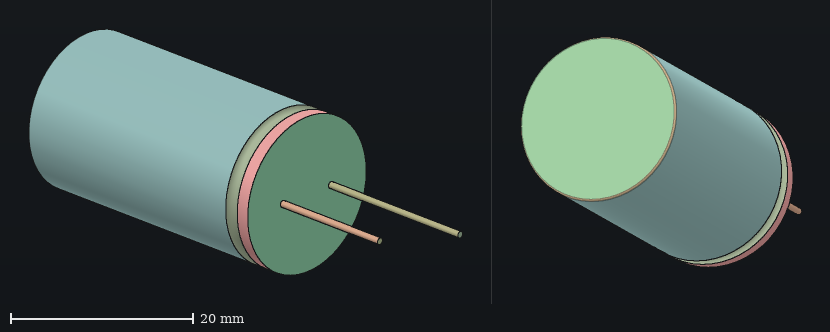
import cadquery as cq

can_diameter = 18.5
can_length = 34.0
end_fillet_radius = 0.2

groove_width = 1.8
groove_depth = 0.85
rim_width = 1.6

overall_length = 54.0
lead_diameter = 0.8
lead_pitch = 7.5
long_lead_length = overall_length - can_length
short_lead_length = 15.0


def make_can():
    """Solid of revolution about X, with the crimp groove in its profile."""
    radius = can_diameter / 2
    groove_end = can_length - rim_width
    groove_start = groove_end - groove_width
    groove_middle = (groove_start + groove_end) / 2
    profile = (
        cq.Workplane("XY")
        .moveTo(0, 0)
        .lineTo(0, radius)
        .lineTo(groove_start, radius)
        .threePointArc((groove_middle, radius - groove_depth), (groove_end, radius))
        .lineTo(can_length, radius)
        .lineTo(can_length, 0)
        .close()
    )
    can_body = profile.revolve(360, (0, 0, 0), (1, 0, 0))
    return can_body.faces("<X").edges().fillet(end_fillet_radius)


def make_lead(length, y_position):
    """Round wire standing on the lead end of the can."""
    return (
        cq.Workplane("YZ", origin=(can_length, y_position, 0))
        .circle(lead_diameter / 2)
        .extrude(length)
    )


can = make_can()

lead_layout = [
    (long_lead_length, lead_pitch / 2),
    (short_lead_length, -lead_pitch / 2),
]
leads = [make_lead(length, y_position) for length, y_position in lead_layout]

result = cq.Compound.makeCompound([can.val(), *[lead.val() for lead in leads]])